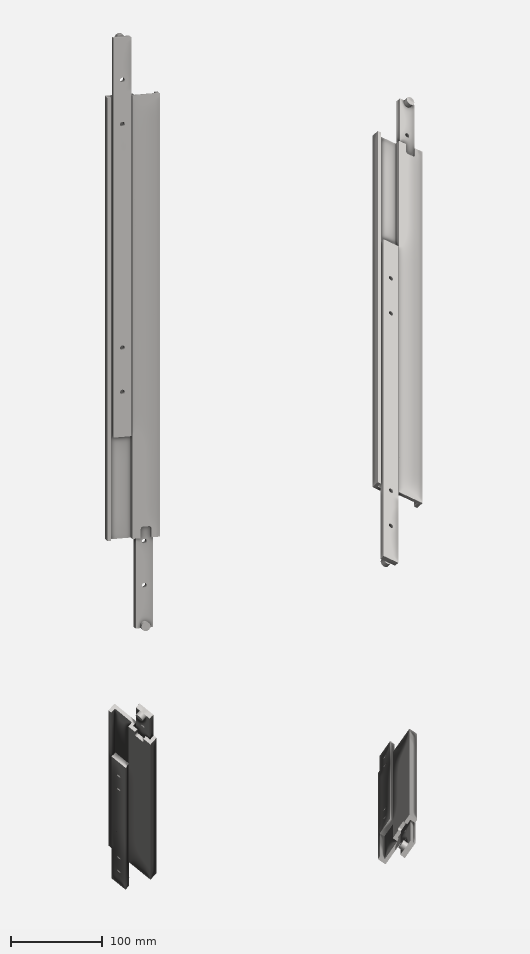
import cadquery as cq

SPAN_Z = 675.0
PROFILE_DEPTH = 10.0
PROFILE_WIDTH = 60.0
PROFILE_TOP = 268.0
PROFILE_LENGTH = 500.0
PROFILE_BOTTOM = PROFILE_TOP - PROFILE_LENGTH
WEB = 4.0
MIDDLE_WALL = 3.5
CHANNEL_WIDTH = (PROFILE_WIDTH - MIDDLE_WALL) / 2 - WEB
CHANNEL_Y = (MIDDLE_WALL + CHANNEL_WIDTH) / 2

NOTCH_WIDTH = 12.0
NOTCH_DEPTH = 13.0
NOTCH_CORNER = 3.0

RAIL_OUTER_X = 7.1
RAIL_WIDTH = 20.0
RAIL_DEPTH = 6.0
RAIL_HEAD_DEPTH = 2.0
RAIL_STEP = 0.35
RAIL_LENGTH = 451.0
PEG_OVERHANG = 2.0
PEG_DIAMETER = 10.0
PEG_REACH = RAIL_OUTER_X + PROFILE_DEPTH / 2 - RAIL_DEPTH
HOLE_DIAMETER = 5.5
HOLE_PITCH = 50.0
PEG_END_INSET = 48.0
FREE_END_INSET = 50.5


def block(x_range, y_center, width, z_range):
    """Box between two X and two Z limits, centred on y_center."""
    depth = x_range[1] - x_range[0]
    height = z_range[1] - z_range[0]
    return (
        cq.Workplane("XY")
        .box(depth, width, height, centered=(False, True, False))
        .translate((x_range[0], y_center, z_range[0]))
    )


def make_profile():
    """S section with a notch at the top of one web and the bottom of the other."""
    half_depth = PROFILE_DEPTH / 2
    height = (PROFILE_BOTTOM, PROFILE_TOP)
    left_channel = (-half_depth, half_depth - WEB)
    right_channel = (WEB - half_depth, half_depth)
    body = block((-half_depth, half_depth), 0, PROFILE_WIDTH, height)
    body = body.cut(block(left_channel, CHANNEL_Y, CHANNEL_WIDTH, height))
    body = body.cut(block(right_channel, -CHANNEL_Y, CHANNEL_WIDTH, height))

    top_notch = block(
        (-half_depth, WEB - half_depth), -CHANNEL_Y, NOTCH_WIDTH, (PROFILE_TOP - NOTCH_DEPTH, PROFILE_TOP)
    ).edges("|X and <Z").fillet(NOTCH_CORNER)
    bottom_notch = block(
        (half_depth - WEB, half_depth), CHANNEL_Y, NOTCH_WIDTH, (PROFILE_BOTTOM, PROFILE_BOTTOM + NOTCH_DEPTH)
    ).edges("|X and >Z").fillet(NOTCH_CORNER)
    return body.cut(top_notch).cut(bottom_notch)


def make_rail():
    """Rail in the +Y channel, open to -X, with its stop peg at the lower end."""
    bottom = PEG_OVERHANG - SPAN_Z / 2
    top = bottom + RAIL_LENGTH
    head_back = RAIL_HEAD_DEPTH - RAIL_OUTER_X
    rail_back = RAIL_DEPTH - RAIL_OUTER_X
    head = block((-RAIL_OUTER_X, head_back), CHANNEL_Y, RAIL_WIDTH, (bottom, top))
    stem = block((head_back, rail_back), CHANNEL_Y, RAIL_WIDTH - 2 * RAIL_STEP, (bottom, top))
    rail = head.union(stem)

    lowest_hole = bottom + PEG_END_INSET
    highest_hole = top - FREE_END_INSET
    hole_heights = [lowest_hole, lowest_hole + HOLE_PITCH, highest_hole - HOLE_PITCH, highest_hole]
    holes = (
        cq.Workplane("YZ", origin=(-RAIL_OUTER_X, 0, 0))
        .pushPoints([(CHANNEL_Y, height) for height in hole_heights])
        .circle(HOLE_DIAMETER / 2)
        .extrude(RAIL_DEPTH)
    )

    peg = (
        cq.Workplane("YZ", origin=(rail_back, 0, 0))
        .center(CHANNEL_Y, (PEG_DIAMETER - SPAN_Z) / 2)
        .circle(PEG_DIAMETER / 2)
        .extrude(PEG_REACH)
    )
    return rail.cut(holes).union(peg)


profile = make_profile()

rails = []
for turn, shift in ((0, 0), (180, -2 * CHANNEL_Y)):
    rail = make_rail().rotate((0, 0, 0), (0, 1, 0), turn)
    rails.append(rail.translate((0, shift, 0)))

result = cq.Compound.makeCompound([profile.val(), *[rail.val() for rail in rails]])